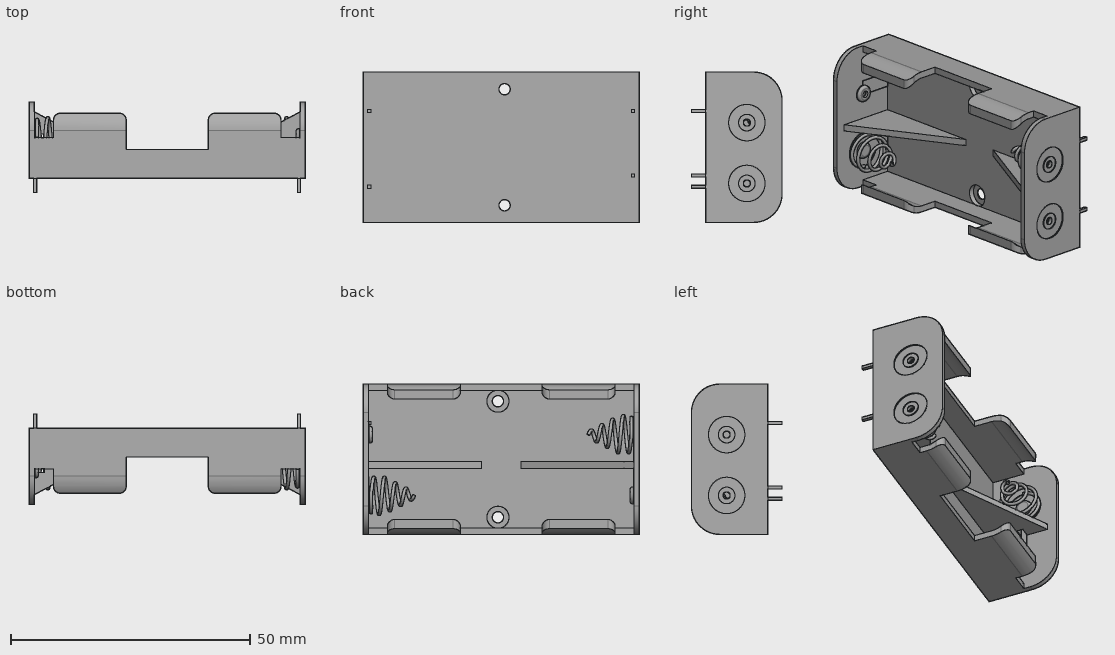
import cadquery as cq
import math


length = 57.8
width = 31.5
height = 16.0
overall_height = 19.0
wall = 1.4
end_wall = 1.1
corner_radius = 6.0

cover_height = 13.65
cover_corner_radius = 1.5
cover_start = 5.1
middle_start = 20.35
middle_height = 6.05
end_opening_height = 8.5

screw_hole_diameter = 2.3
counterbore_diameter = 4.6
screw_web = 0.25
screw_hole_x = 0.7
screw_hole_z = 12.15

contact_height = 8.6
upper_contact_z = 5.15
lower_contact_z = -7.6
cell_middle_z = (upper_contact_z + lower_contact_z) / 2

rib_thickness = 1.4
rib_height = 13.95
rib_slope = 0.53
rib_notch_end = 3.25

recess_diameter = 7.65
recess_depth = 0.3
outer_head_diameter = 3.45
outer_head_thickness = 0.25
shank_diameter = 1.6
inner_head_diameter = 3.6
inner_head_thickness = 0.7
inner_head_rounding = 0.6
rivet_bore_diameter = 1.4
blind_bore_end = 1.4

plate_thickness = 0.2
spring_plate_diameter = 7.65
button_plate_diameter = 3.6
strap_width = 1.3
pin_size = 0.7
pin_length = overall_height - height
left_pin_inset = 1.3
right_pin_inset = 1.35
upper_pin_z = 7.6
lower_left_pin_z = -8.25
lower_right_pin_z = -5.9

wire_diameter = 0.7
plate_clearance = 0.05
spring_pitch = 2.25
spring_turns = 4.25
flat_turns = 0.25
widest_turn = 1.25
base_radius = 3.5
widest_radius = 4.0
tip_radius = 0.6
points_per_turn = 12

plate_face = end_wall + plate_thickness
head_face = recess_depth - outer_head_thickness
rivet_face = plate_face + inner_head_thickness

LEFT = 1
RIGHT = -1


def block(x_range, y_range, z_range):
    """Box between the given limits along X, Y and Z."""
    (x0, x1), (y0, y1), (z0, z1) = x_range, y_range, z_range
    return cq.Workplane("XY").box(x1 - x0, y1 - y0, z1 - z0, centered=False).translate((x0, y0, z0))


def disc(diameter, start, end, y, z):
    """Cylinder along X between two X positions."""
    return cq.Workplane("YZ", origin=(start, y, z)).circle(diameter / 2).extrude(end - start)


def at_end(body, side):
    """Move a body whose X is measured inward from the left end face to the given end.

    The right end is the left one turned half round the Y axis, so Z changes sign there.
    """
    placed = body.translate((-length / 2, 0, 0))
    if side == RIGHT:
        placed = placed.rotate((0, 0, 0), (0, 1, 0), 180)
    return placed


def rounded_bar(bar_length, bottom, top, half_width, radius):
    """Bar along X with its two upper edges rounded."""
    bar = block((-bar_length / 2, bar_length / 2), (bottom, top), (-half_width, half_width))
    return bar.edges("|X and >Y").fillet(radius)


def pin_terminal(axis_z, plate_diameter, pin_z, pin_inset):
    """Round contact plate on the end wall, with a tail leading down to a square pin."""
    half_pin = pin_size / 2
    plate = disc(plate_diameter, end_wall, plate_face, contact_height, axis_z)
    tail_z = (min(axis_z, pin_z) - half_pin, max(axis_z, pin_z) + half_pin)
    tail = block((end_wall, plate_face), (wall, contact_height), tail_z)
    pin = block(
        (pin_inset - half_pin, pin_inset + half_pin),
        (-pin_length, wall + pin_size),
        (pin_z - half_pin, pin_z + half_pin),
    )
    return plate.union(tail).union(pin)


def series_terminal():
    """Left terminal: a strap joins the upper spring plate to the lower button plate."""
    strap = block(
        (end_wall, plate_face),
        (contact_height - strap_width / 2, contact_height + strap_width / 2),
        (lower_contact_z, upper_contact_z),
    )
    upper = pin_terminal(upper_contact_z, spring_plate_diameter, upper_pin_z, left_pin_inset)
    lower = pin_terminal(lower_contact_z, button_plate_diameter, lower_left_pin_z, left_pin_inset)
    return at_end(strap.union(upper).union(lower), LEFT)


def output_terminal(axis_z, plate_diameter, pin_z):
    """Right terminal serving a single cell."""
    body = pin_terminal(RIGHT * axis_z, plate_diameter, RIGHT * pin_z, right_pin_inset)
    return at_end(body, RIGHT)


def rivet_blank(axis_z, side):
    """Solid rivet clamping a contact plate to the end wall."""
    z = side * axis_z
    outer_head = disc(outer_head_diameter, head_face, recess_depth, contact_height, z)
    shank = disc(shank_diameter, recess_depth, plate_face, contact_height, z)
    inner_head = disc(inner_head_diameter, plate_face, rivet_face, contact_height, z)
    inner_head = inner_head.faces(">X").edges().fillet(inner_head_rounding)
    return at_end(outer_head.union(shank).union(inner_head), side)


def rivet(axis_z, side, bore_end):
    """Rivet bored from its outer head."""
    bore = disc(rivet_bore_diameter, head_face, bore_end, contact_height, side * axis_z)
    return rivet_blank(axis_z, side).cut(at_end(bore, side))


def spring_point(turn):
    """Wire centre after a number of turns, counted from the +Z side toward +Y."""
    if turn < widest_turn:
        radius = base_radius + (widest_radius - base_radius) * turn / widest_turn
    else:
        share = (turn - widest_turn) / (spring_turns - widest_turn)
        radius = widest_radius + (tip_radius - widest_radius) * share
    advance = spring_pitch * max(0, turn - flat_turns)
    angle = 2 * math.pi * turn
    return (advance, radius * math.sin(angle), radius * math.cos(angle))


def spring(axis_z, side):
    """Coil spring that starts just clear of its plate, widens and then narrows to its tip."""
    steps = round(spring_turns * points_per_turn)
    centres = [cq.Vector(*spring_point(i / points_per_turn)) for i in range(steps + 1)]
    path = cq.Edge.makeSpline(centres)
    start_plane = cq.Plane(origin=path.startPoint(), normal=path.tangentAt(0))
    wire = cq.Workplane(start_plane).circle(wire_diameter / 2).sweep(cq.Workplane(path), isFrenet=True)
    base_x = plate_face + plate_clearance + wire_diameter / 2
    return at_end(wire.translate((base_x, contact_height, side * axis_z)), side)


def shell():
    """Rounded tray, open on top, with end walls and a floor."""
    cavity_length = length - 2 * end_wall
    tray = rounded_bar(length, 0, height, width / 2, corner_radius)
    cavity = rounded_bar(cavity_length, wall, height - wall, width / 2 - wall, corner_radius - wall)
    above_covers = block(
        (-cavity_length / 2, cavity_length / 2), (cover_height, height), (-width / 2, width / 2)
    )
    return tray.cut(cavity).cut(above_covers)


def cover_openings():
    """Cuts that leave a pair of covers, with rounded corners, near each end."""
    inner_end = length / 2 - end_wall
    cover_outer = length / 2 - cover_start
    cover_inner = length / 2 - middle_start
    across = (-width / 2, width / 2)
    cuts = block((-cover_inner, cover_inner), (middle_height, height), across)
    for side in (LEFT, RIGHT):
        opening_x = sorted((side * cover_outer, side * inner_end))
        cuts = cuts.union(block(opening_x, (end_opening_height, height), across))
        cover_x = sorted((side * cover_inner, side * cover_outer))
        square_cover = block(cover_x, (middle_height, cover_height), across)
        rounded_cover = square_cover.edges("|Z and >Y").fillet(cover_corner_radius)
        cuts = cuts.union(square_cover.cut(rounded_cover))
    return cuts


def rib(side):
    """Triangular rib between the cells, sloping from the end wall down to the floor."""
    rib_end = end_wall + (rib_height - wall) / rib_slope
    z = side * cell_middle_z
    outline = [(end_wall, wall), (end_wall, rib_height), (rib_end, wall)]
    body = cq.Workplane("XY", origin=(0, 0, z - rib_thickness / 2)).polyline(outline).close()
    return at_end(body.extrude(rib_thickness), side)


def strap_notch():
    """Gap in the left rib that the strap passes through."""
    body = block(
        (end_wall, rib_notch_end),
        (contact_height - strap_width / 2, contact_height + strap_width / 2),
        (cell_middle_z - rib_thickness / 2, cell_middle_z + rib_thickness / 2),
    )
    return at_end(body, LEFT)


def screw_hole(z):
    """Hole through the floor, with a counterbore inside that leaves a thin web under the screw head."""
    floor = cq.Workplane("XZ", origin=(screw_hole_x, wall, z))
    hole = floor.circle(screw_hole_diameter / 2).extrude(wall)
    counterbore = floor.circle(counterbore_diameter / 2).extrude(wall - screw_web)
    return hole.union(counterbore)


def housing(fitted_bodies):
    """Housing with recesses for the rivets and terminals."""
    body = shell().cut(cover_openings()).union(rib(LEFT)).union(rib(RIGHT)).cut(strap_notch())
    for z in (-screw_hole_z, screw_hole_z):
        body = body.cut(screw_hole(z))
    for side in (LEFT, RIGHT):
        for z in (lower_contact_z, upper_contact_z):
            body = body.cut(at_end(disc(recess_diameter, 0, recess_depth, contact_height, side * z), side))
    for fitted in fitted_bodies:
        body = body.cut(fitted)
    return body


spring_places = [(upper_contact_z, LEFT), (lower_contact_z, RIGHT)]
button_places = [(lower_contact_z, LEFT), (upper_contact_z, RIGHT)]

springs = [spring(z, side) for z, side in spring_places]
rivets = [rivet(z, side, blind_bore_end) for z, side in spring_places]
rivets += [rivet(z, side, rivet_face) for z, side in button_places]
rivet_blanks = [rivet_blank(z, side) for z, side in spring_places + button_places]
raw_terminals = [
    series_terminal(),
    output_terminal(upper_contact_z, button_plate_diameter, upper_pin_z),
    output_terminal(lower_contact_z, spring_plate_diameter, lower_right_pin_z),
]
terminals = []
for terminal in raw_terminals:
    for blank in rivet_blanks:
        terminal = terminal.cut(blank)
    terminals.append(terminal)
holder = housing(rivet_blanks + terminals)

result = cq.Compound.makeCompound(
    [body.solids().val() for body in [holder, *terminals, *rivets, *springs]]
)